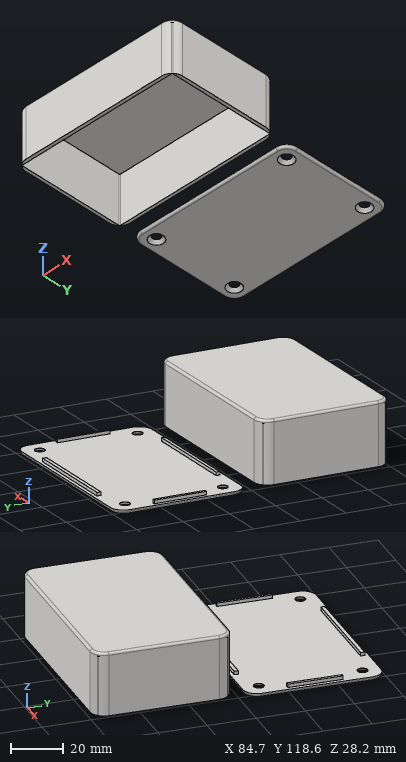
import cadquery as cq
overall_depth = 118.6
gap = 5.7
width = (overall_depth - gap) / 2
overall_height = width / 2
length = 3 * overall_height
center_offset = (width + gap) / 2

corner_radius = 5.7
edge_round = 1.1

lid_thickness = 1.7
hole_diameter = 4.0
hole_inset = 7.1
sink_depth = 1.5
sink_diameter = hole_diameter + 2 * sink_depth

wall = 1.7
cavity_radius = 0.4
rim_z = lid_thickness
box_height = overall_height - rim_z

rib_height = 1.4
rib_inset = wall
long_rib_length = 45.1
long_rib_thickness = 1.7
short_rib_length = 22.5
short_rib_thickness = 1.3


def block(x_size, y_size, z_size):
    """Block centered on the Z axis and standing on z = 0."""
    return cq.Workplane("XY").box(x_size, y_size, z_size, centered=(True, True, False))


def rounded_block(z_size, outer_face):
    """Block with the case footprint, rounded at its corners and around its outer face."""
    body = block(length, width, z_size).edges("|Z").fillet(corner_radius)
    return body.faces(outer_face).edges().fillet(edge_round)


def make_box():
    """Hollow box with a round-cornered cavity that is open downward."""
    cavity = block(length - 2 * wall, width - 2 * wall, box_height - wall)
    cavity = cavity.edges("|Z").fillet(cavity_radius)
    return rounded_block(box_height, ">Z").cut(cavity)


def make_screw_hole():
    """Cutter for one screw hole, widening to a 90 degree countersink at the underside."""
    shank = cq.Workplane("XY").circle(hole_diameter / 2).extrude(lid_thickness)
    sink = (
        cq.Workplane("XY")
        .circle(sink_diameter / 2)
        .workplane(offset=sink_depth)
        .circle(hole_diameter / 2)
        .loft()
    )
    return shank.union(sink)


def make_lid():
    """Flat lid with a screw hole in each corner and a locating rib along each side."""
    lid = rounded_block(lid_thickness, "<Z")

    hole_x = length / 2 - hole_inset
    hole_y = width / 2 - hole_inset
    long_rib = block(long_rib_length, long_rib_thickness, rib_height)
    short_rib = block(short_rib_thickness, short_rib_length, rib_height)
    long_rib_y = width / 2 - rib_inset - long_rib_thickness / 2
    short_rib_x = length / 2 - rib_inset - short_rib_thickness / 2

    for side in (-1, 1):
        for end in (-1, 1):
            lid = lid.cut(make_screw_hole().translate((end * hole_x, side * hole_y, 0)))
        lid = lid.union(long_rib.translate((0, side * long_rib_y, lid_thickness)))
        lid = lid.union(short_rib.translate((side * short_rib_x, 0, lid_thickness)))
    return lid


box = make_box().translate((0, -center_offset, rim_z))
lid = make_lid().translate((0, center_offset, 0))

result = cq.Compound.makeCompound([box.val(), lid.val()])